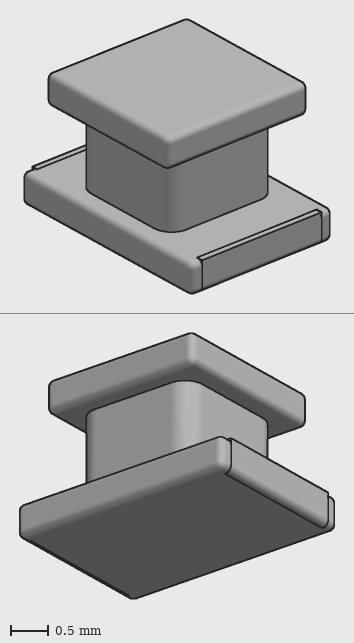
import cadquery as cq

base_length = 3.5
flange_width = 2.5
overall_height = 2.2
flange_thickness = 0.5

post_width = 1.9
post_corner_radius = 0.3
post_height = overall_height - 2 * flange_thickness

edge_radius = 0.1
terminal_length = 2.1
terminal_thickness = edge_radius


def make_flange(length, bottom):
    """Plate with every edge rounded, standing on the height `bottom`."""
    return (
        cq.Workplane("XY", origin=(0, 0, bottom))
        .box(length, flange_width, flange_thickness, centered=(True, True, False))
        .edges()
        .fillet(edge_radius)
    )


def make_base():
    """Lower flange with a full-height notch in each end for a terminal."""
    notch_centers = [(side * (base_length - terminal_thickness) / 2, 0) for side in (-1, 1)]
    notches = (
        cq.Workplane("XY")
        .pushPoints(notch_centers)
        .rect(terminal_thickness, terminal_length)
        .extrude(flange_thickness)
    )
    return make_flange(base_length, 0).cut(notches)


def make_post():
    """Square column with rounded corners, standing on the base."""
    return (
        cq.Workplane("XY", origin=(0, 0, flange_thickness))
        .box(post_width, post_width, post_height, centered=(True, True, False))
        .edges("|Z")
        .fillet(post_corner_radius)
    )


def make_terminal(side):
    """End plate with a square top edge and a rounded lower outer edge; side is -1 or 1 along X."""
    outer_x = side * base_length / 2
    inner_x = side * (base_length / 2 - terminal_thickness)
    return (
        cq.Workplane("XZ")
        .moveTo(inner_x, 0)
        .radiusArc((outer_x, edge_radius), -side * edge_radius)
        .lineTo(outer_x, flange_thickness)
        .lineTo(inner_x, flange_thickness)
        .close()
        .extrude(terminal_length / 2, both=True)
    )


base = make_base()
post = make_post()
top_flange = make_flange(flange_width, flange_thickness + post_height)
terminals = [make_terminal(side) for side in (-1, 1)]

result = cq.Compound.makeCompound([
    base.solids().val(),
    post.solids().val(),
    top_flange.solids().val(),
    *[terminal.solids().val() for terminal in terminals],
])